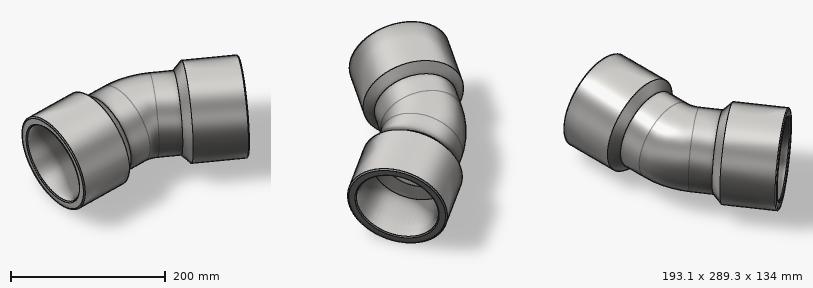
import cadquery as cq
import math

bend_angle = 30.0
bend_radius = 79.0
leg_reach = 137.63

pipe_diameter = 110.0
bore_diameter = 86.0
socket_diameter = 134.0
socket_bore_diameter = 110.0

socket_length = 73.5
socket_bore_depth = 69.5
seat_length = (socket_diameter - pipe_diameter) / 2
rim_chamfer_length = 1.5
rim_chamfer_width = 2.0
mouth_chamfer = 1.5

leg_length = leg_reach - bend_radius * math.tan(math.radians(bend_angle / 2))

pipe_radius = pipe_diameter / 2
bore_radius = bore_diameter / 2
socket_radius = socket_diameter / 2
socket_bore_radius = socket_bore_diameter / 2


def revolve_about_y(points):
    return cq.Workplane("XY").polyline(points).close().revolve(360, (0, 0, 0), (0, 1, 0))


def make_leg():
    """Socketed leg with its mouth at Y = -leg_length and its plain end at Y = 0."""
    mouth = -leg_length
    shoulder = mouth + socket_length
    socket_floor = mouth + socket_bore_depth
    return revolve_about_y([
        (bore_radius, 0),
        (pipe_radius, 0),
        (pipe_radius, shoulder + seat_length),
        (socket_radius, shoulder),
        (socket_radius, mouth + rim_chamfer_length),
        (socket_radius - rim_chamfer_width, mouth),
        (socket_bore_radius + mouth_chamfer, mouth),
        (socket_bore_radius, mouth + mouth_chamfer),
        (socket_bore_radius, socket_floor),
        (bore_radius, socket_floor + seat_length),
    ])


def make_bend():
    """Curved pipe starting at the origin along +Y and turning toward +X."""
    bend_axis_start = (bend_radius, 1, 0)
    bend_axis_end = (bend_radius, 0, 0)
    return (
        cq.Workplane("XZ")
        .circle(pipe_radius)
        .circle(bore_radius)
        .revolve(bend_angle, bend_axis_start, bend_axis_end)
    )


def make_outlet(leg):
    """Mirror the inlet leg and swing it round the bend centre."""
    bend_centre = (bend_radius, 0, 0)
    bend_axis_end = (bend_radius, 0, 1)
    return leg.mirror("XZ").rotate(bend_centre, bend_axis_end, -bend_angle)


inlet = make_leg()
result = inlet.union(make_bend()).union(make_outlet(inlet))